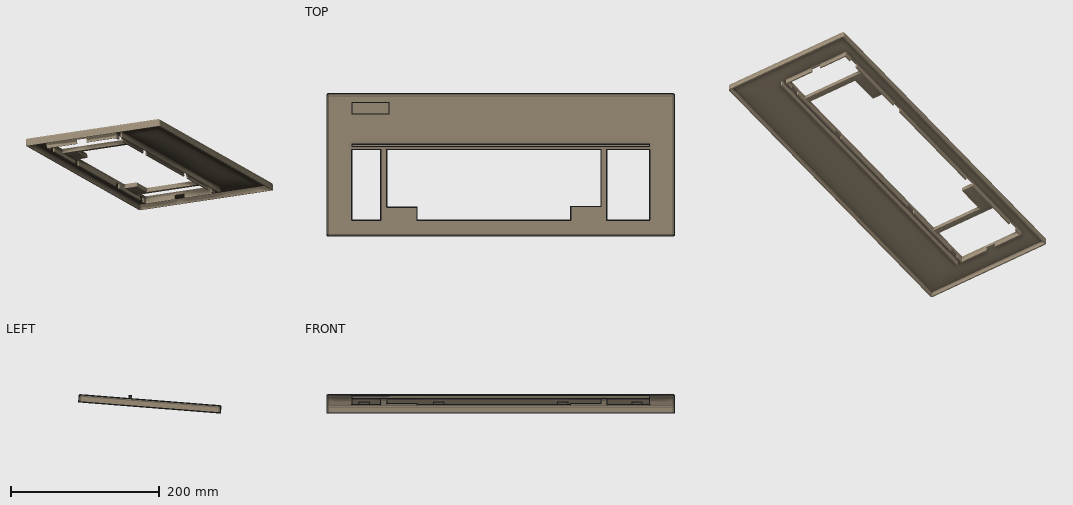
import cadquery as cq

tilt_angle = 4.5
body_width = 466.9
body_depth = 191.0
body_height = 9.9
wall = 2.0
top_thickness = 2.5
corner_radius = 2.1
top_edge_radius = 2.0

key_area_width = 399.7
key_area_depth = 95.25
key_area_front = 21.1
left_opening_width = 38.8
right_opening_width = 57.2
bar_width = 8.2
bar_height = 5.7

left_step_depth = 17.7
right_step_depth = 18.6
step_width = 40.7

notch_width = 14.0
notch_roof = 4.1
inner_notch_x = 83.4
outer_notch_x = 183.0

ridge_depth = 3.0
ridge_height = 4.0
ridge_gap = 4.7

badge_width = 50.0
badge_depth = 15.6
badge_back_margin = 11.2
badge_recess = 0.3

rib_gap = 8.0
rib_thickness = 2.0

side_rib_projection = 0.15
side_rib_depth = 3.0
side_rib_height = 8.5
side_rib_back_margin = 1.5

key_area_left = -key_area_width / 2
key_area_right = key_area_width / 2
key_area_back = key_area_front + key_area_depth
middle_left = key_area_left + left_opening_width + bar_width
middle_right = key_area_right - right_opening_width - bar_width
middle_width = middle_right - middle_left
key_area_middle_y = key_area_front + key_area_depth / 2


def block(x, y, z, width, depth, height):
    """Box given by its lowest-X, lowest-Y, lowest-Z corner and its sizes."""
    return cq.Workplane("XY").box(width, depth, height, centered=False).translate((x, y, z))


def make_shell():
    """Tray-like cover, open underneath, with rounded top edges."""
    shell = block(-body_width / 2, 0, 0, body_width, body_depth, body_height)
    shell = shell.edges("|Z").fillet(corner_radius)
    shell = shell.faces(">Z").edges().fillet(top_edge_radius)
    cavity = block(
        wall - body_width / 2, wall, 0,
        body_width - 2 * wall, body_depth - 2 * wall, body_height - top_thickness,
    )
    return shell.cut(cavity)


def make_key_frame():
    """Solid block under the key area; the openings and notches turn it into a walled frame."""
    return block(
        key_area_left - wall, key_area_front - wall, 0,
        key_area_width + 2 * wall, key_area_depth + 2 * wall, body_height,
    )


def make_openings():
    """The three key openings, joined below the bars and the corner steps."""
    bar_underside = body_height - bar_height
    cut = block(key_area_left, key_area_front, 0, key_area_width, key_area_depth, bar_underside)
    spans = (
        (key_area_left, left_opening_width),
        (middle_left, middle_width),
        (key_area_right - right_opening_width, right_opening_width),
    )
    for left, width in spans:
        cut = cut.union(block(left, key_area_front, 0, width, key_area_depth, body_height))
    steps = (
        (middle_left, left_step_depth),
        (middle_right - step_width, right_step_depth),
    )
    for left, depth in steps:
        cut = cut.cut(block(left, key_area_front, bar_underside, step_width, depth, bar_height))
    return cut


def make_notches():
    """Clip notches through the frame walls, open at the bottom."""
    height = body_height - notch_roof
    span_y = key_area_depth + 2 * wall
    span_x = key_area_width + 2 * wall
    notches = block(
        -span_x / 2, key_area_middle_y - notch_width / 2, 0, span_x, notch_width, height
    )
    window = block(
        key_area_left, key_area_front, 0, key_area_width, key_area_depth, body_height
    )
    for x in (-outer_notch_x, -inner_notch_x, inner_notch_x, outer_notch_x):
        notches = notches.union(
            block(x - notch_width / 2, key_area_front - wall, 0, notch_width, span_y, height)
        )
    return notches.cut(window)


def make_ridge():
    """Straight rib on the top face, just behind the openings."""
    return block(
        key_area_left, key_area_back + ridge_gap, body_height,
        key_area_width, ridge_depth, ridge_height,
    )


def make_stiffening_rib():
    """Rib from the underside of the top down to the open bottom, behind the openings."""
    return block(
        key_area_left - wall, key_area_back + rib_gap, 0,
        key_area_width + 2 * wall, rib_thickness, body_height - top_thickness,
    )


def make_badge_recess():
    """Shallow rectangular recess near the back left corner."""
    return block(
        key_area_left, body_depth - badge_back_margin - badge_depth, body_height - badge_recess,
        badge_width, badge_depth, badge_recess,
    )


def make_side_rib():
    """Small upright rib on the right side, near the back."""
    return block(
        body_width / 2 - wall, body_depth - side_rib_back_margin - side_rib_depth, 0,
        wall + side_rib_projection, side_rib_depth, side_rib_height,
    )


bezel = (
    make_shell()
    .union(make_key_frame())
    .cut(make_openings())
    .cut(make_notches())
    .union(make_ridge())
    .union(make_stiffening_rib())
    .cut(make_badge_recess())
    .union(make_side_rib())
)

result = bezel.rotate((0, 0, 0), (1, 0, 0), tilt_angle)